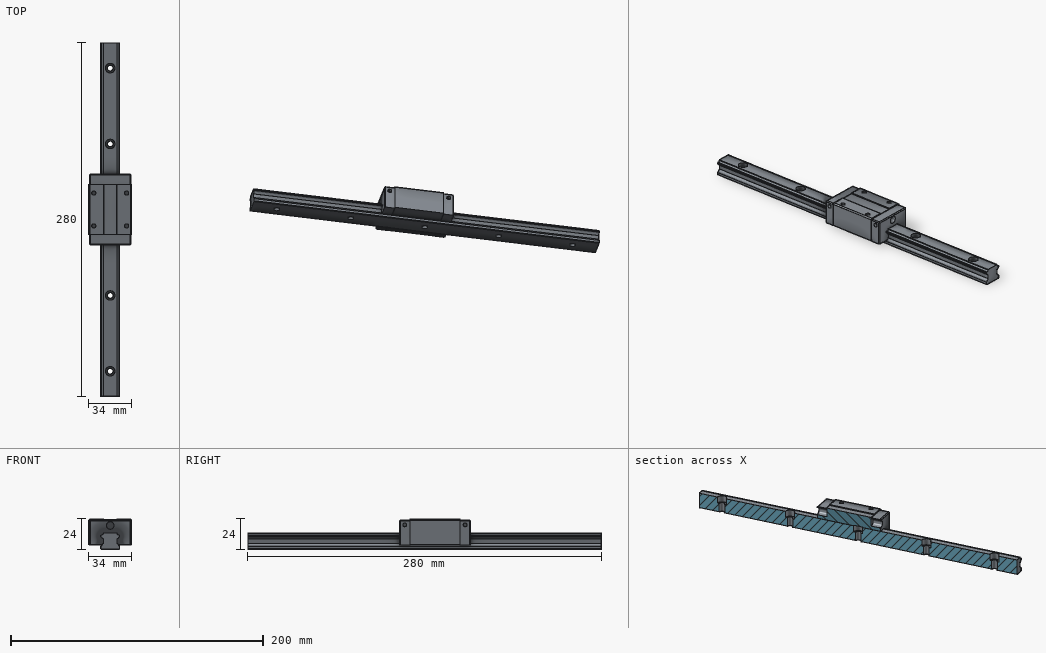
import cadquery as cq
import math

rail_length = 280.0
rail_width = 15.0
rail_height = 13.0
rail_waist_width = 11.0
rail_top_step = 0.6
rail_head_top = 10.9
rail_head_bottom = 10.2
rail_waist_top = 8.15
rail_waist_bottom = 4.8
rail_foot_height = 2.4
rail_corner = 0.5
rail_groove_sag = 0.3

rail_hole_count = 5
rail_hole_pitch = 60.0
rail_hole_diameter = 4.5
rail_counterbore_diameter = 7.5
rail_counterbore_depth = 5.3

carriage_y = 8.1
carriage_length = 56.0
block_length = 39.5
block_width = 34.0
block_bottom = 4.0
block_top = 24.0
block_edge_chamfer = 1.0

cap_length = (carriage_length - block_length) / 2
cap_width = 33.0
cap_bottom = 3.5
cap_top = 23.2
cap_chamfer = 0.8

channel_floor_width = 10.0
channel_top_width = 11.0
channel_depth = 0.5

mount_spacing = 26.0
mount_hole_diameter = 3.3
mount_hole_depth = 6.0

end_port_z = 18.9
side_port_z = 19.4
end_port_diameter = 6.0
side_port_diameter = 3.0
side_port_depth = 3.0

cap_y_offset = (block_length + cap_length) / 2


def rail_bar():
    """Full-length bar with the rail's waisted cross-section."""
    outer = rail_width / 2
    inner = rail_waist_width / 2
    shoulder = outer - rail_corner
    groove_outer_z = rail_head_top + rail_corner
    groove_inner_z = rail_height - rail_top_step
    groove_width = shoulder - inner
    groove_drop = groove_inner_z - groove_outer_z
    groove_chord = math.hypot(groove_width, groove_drop)
    groove_middle = (
        (inner + shoulder) / 2 - rail_groove_sag * groove_drop / groove_chord,
        (groove_inner_z + groove_outer_z) / 2 - rail_groove_sag * groove_width / groove_chord,
    )
    right_half = (
        cq.Workplane("XZ")
        .lineTo(shoulder, 0)
        .lineTo(outer, rail_corner)
        .lineTo(outer, rail_foot_height)
        .lineTo(shoulder, rail_foot_height + rail_corner)
        .lineTo(inner, rail_waist_bottom)
        .lineTo(inner, rail_waist_top)
        .lineTo(shoulder, rail_head_bottom - rail_corner)
        .lineTo(outer, rail_head_bottom)
        .lineTo(outer, rail_head_top)
        .lineTo(shoulder, groove_outer_z)
        .threePointArc(groove_middle, (inner, groove_inner_z))
        .lineTo(inner, rail_height)
        .lineTo(0, rail_height)
    )
    return right_half.mirrorY().extrude(rail_length / 2, both=True)


def make_rail():
    """Rail with a row of counterbored screw holes."""
    return (
        rail_bar()
        .faces(">Z")
        .workplane(origin=(0, 0, 0))
        .rarray(1, rail_hole_pitch, 1, rail_hole_count)
        .cboreHole(rail_hole_diameter, rail_counterbore_diameter, rail_counterbore_depth)
    )


def carriage_box(width, length, bottom, top, y_offset=0.0):
    """Box between two heights, centred on X and offset from the carriage middle along Y."""
    return (
        cq.Workplane("XY", origin=(0, carriage_y + y_offset, bottom))
        .rect(width, length)
        .extrude(top - bottom)
    )


def block():
    """Steel middle part: bevelled top edges, shallow channel and mounting holes."""
    body = carriage_box(block_width, block_length, block_bottom, block_top)
    body = body.edges("|Y and >Z").chamfer(block_edge_chamfer)

    channel = (
        cq.Workplane("XZ", origin=(0, carriage_y, block_top))
        .polyline([
            (-channel_top_width / 2, 0),
            (-channel_floor_width / 2, -channel_depth),
            (channel_floor_width / 2, -channel_depth),
            (channel_top_width / 2, 0),
        ])
        .close()
        .extrude(block_length / 2, both=True)
    )
    mount_holes = (
        cq.Workplane("XY", origin=(0, carriage_y, block_top))
        .rarray(mount_spacing, mount_spacing, 2, 2)
        .circle(mount_hole_diameter / 2)
        .extrude(-mount_hole_depth)
    )
    return body.cut(channel).cut(mount_holes)


def end_cap(end):
    """End cap with its ports; end is -1 for the -Y end and +1 for the +Y end."""
    outer_face = ">Y" if end > 0 else "<Y"
    cap_y = carriage_y + end * cap_y_offset
    cap = carriage_box(cap_width, cap_length, cap_bottom, cap_top, end * cap_y_offset)
    outer_edges = cap.faces(outer_face).edges("|Z or >Z").add(cap.edges("|Y and >Z"))
    cap = cap.newObject(outer_edges.vals()).chamfer(cap_chamfer)

    end_port = (
        cq.Workplane("XZ", origin=(0, cap_y, end_port_z))
        .circle(end_port_diameter / 2)
        .extrude(cap_length / 2, both=True)
    )
    cap = cap.cut(end_port)
    for side in (-1, 1):
        side_port = (
            cq.Workplane("YZ", origin=(side * cap_width / 2, cap_y, side_port_z))
            .circle(side_port_diameter / 2)
            .extrude(-side * side_port_depth)
        )
        cap = cap.cut(side_port)
    return cap


def make_carriage():
    """Block and both end caps in one piece, cut to fit over the rail."""
    carriage = block()
    for end in (-1, 1):
        carriage = carriage.union(end_cap(end))
    return carriage.cut(rail_bar())


rail = make_rail()
carriage = make_carriage()

result = cq.Compound.makeCompound([rail.val(), *carriage.vals()])